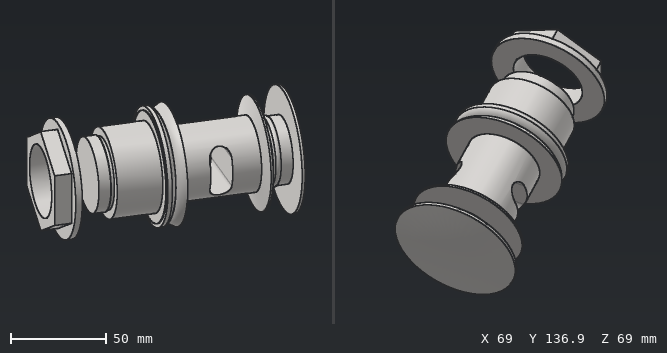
import cadquery as cq
import math

TOTAL_LENGTH = 136.9

CAP_RADIUS = 34.5
DOME_RISE = 2.0
CAP_EDGE_THICKNESS = 1.8
PLUG_RADIUS = 18.5
PLUG_LENGTH = 11.0
SEAL_START = 6.6
SEAL_WIDTH = 2.9
SEAL_BULGE = 0.7
STEM_RADIUS = 6.0
STEM_LENGTH = 3.8

FLANGE_RADIUS = 31.2
FLANGE_EDGE_THICKNESS = 1.2
FLANGE_CONE_HEIGHT = 1.9
BARREL_RADIUS = 20.5
BARREL_LENGTH = 44.5
SLOT_WIDTH = 12.0
SLOT_LENGTH = 28.2
SLOT_FROM_FLANGE = 21.9

UPPER_RING_RADIUS = 33.3
UPPER_RING_HEIGHT = 4.9
UPPER_RING_BULGE = 1.0
WAIST_RADIUS = 28.0
LOWER_RING_RADIUS = 32.5
LOWER_RING_ROUND_HEIGHT = 3.3
LOWER_RING_BULGE = 0.7
LOWER_RING_RIM_HEIGHT = 2.5
RING_STEP_RADIUS = 30.1
RING_STEP_HEIGHT = 0.4

SLEEVE_RADIUS = 24.6
SLEEVE_LENGTH = 25.0
NECK_RADIUS = 19.7
NECK_LENGTH = 2.0
END_LENGTH = 6.7

NUT_FLANGE_THICKNESS = 3.7
HEX_HEIGHT = 9.3
HEX_ACROSS_FLATS = 50.0
NUT_BORE_RADIUS = 19.7

CAP_RIM_Y = TOTAL_LENGTH - DOME_RISE
CAP_UNDERSIDE_Y = CAP_RIM_Y - CAP_EDGE_THICKNESS
SEAL_TOP_Y = CAP_UNDERSIDE_Y - SEAL_START
SEAL_BOTTOM_Y = SEAL_TOP_Y - SEAL_WIDTH
PLUG_BOTTOM_Y = CAP_UNDERSIDE_Y - PLUG_LENGTH
FLANGE_TOP_Y = PLUG_BOTTOM_Y - STEM_LENGTH
FLANGE_RIM_Y = FLANGE_TOP_Y - FLANGE_EDGE_THICKNESS
BARREL_TOP_Y = FLANGE_RIM_Y - FLANGE_CONE_HEIGHT
UPPER_RING_Y = BARREL_TOP_Y - BARREL_LENGTH
WAIST_Y = UPPER_RING_Y - UPPER_RING_HEIGHT
LOWER_RING_Y = WAIST_Y - LOWER_RING_ROUND_HEIGHT
RING_STEP_Y = LOWER_RING_Y - LOWER_RING_RIM_HEIGHT
SLEEVE_TOP_Y = RING_STEP_Y - RING_STEP_HEIGHT
SLEEVE_BOTTOM_Y = SLEEVE_TOP_Y - SLEEVE_LENGTH
NECK_BOTTOM_Y = SLEEVE_BOTTOM_Y - NECK_LENGTH
END_Y = NECK_BOTTOM_Y - END_LENGTH


def ring_arc_middle(rim_radius, rim_y, bulge):
    """Middle point of the arc from a ring's rim to the waist, on its outward side."""
    radial_run = rim_radius - WAIST_RADIUS
    axial_run = WAIST_Y - rim_y
    chord = math.hypot(radial_run, axial_run)
    radius = (rim_radius + WAIST_RADIUS) / 2 + bulge * abs(axial_run) / chord
    y = (rim_y + WAIST_Y) / 2 + bulge * math.copysign(radial_run, axial_run) / chord
    return radius, y


def make_slot():
    """Rounded slot running through the barrel along X, long in Z."""
    return (
        cq.Workplane("YZ")
        .center(BARREL_TOP_Y - SLOT_FROM_FLANGE, 0)
        .slot2D(SLOT_LENGTH, SLOT_WIDTH, 90)
        .extrude(BARREL_RADIUS, both=True)
    )


def make_drain():
    """Cap, plug, barrel, rings and sleeve turned as one solid, then slotted."""
    dome_radius = (CAP_RADIUS**2 + DOME_RISE**2) / (2 * DOME_RISE)
    dome_middle_x = CAP_RADIUS / 2
    dome_middle_y = TOTAL_LENGTH - dome_radius + math.sqrt(dome_radius**2 - dome_middle_x**2)
    seal_middle = (PLUG_RADIUS + SEAL_BULGE, (SEAL_TOP_Y + SEAL_BOTTOM_Y) / 2)
    upper_ring_middle = ring_arc_middle(UPPER_RING_RADIUS, UPPER_RING_Y, UPPER_RING_BULGE)
    lower_ring_middle = ring_arc_middle(LOWER_RING_RADIUS, LOWER_RING_Y, LOWER_RING_BULGE)

    profile = (
        cq.Workplane("XY")
        .moveTo(0, TOTAL_LENGTH)
        .threePointArc((dome_middle_x, dome_middle_y), (CAP_RADIUS, CAP_RIM_Y))
        .lineTo(CAP_RADIUS, CAP_UNDERSIDE_Y)
        .lineTo(PLUG_RADIUS, CAP_UNDERSIDE_Y)
        .lineTo(PLUG_RADIUS, SEAL_TOP_Y)
        .threePointArc(seal_middle, (PLUG_RADIUS, SEAL_BOTTOM_Y))
        .lineTo(PLUG_RADIUS, PLUG_BOTTOM_Y)
        .lineTo(STEM_RADIUS, PLUG_BOTTOM_Y)
        .lineTo(STEM_RADIUS, FLANGE_TOP_Y)
        .lineTo(FLANGE_RADIUS, FLANGE_TOP_Y)
        .lineTo(FLANGE_RADIUS, FLANGE_RIM_Y)
        .lineTo(BARREL_RADIUS, BARREL_TOP_Y)
        .lineTo(BARREL_RADIUS, UPPER_RING_Y)
        .lineTo(UPPER_RING_RADIUS, UPPER_RING_Y)
        .threePointArc(upper_ring_middle, (WAIST_RADIUS, WAIST_Y))
        .threePointArc(lower_ring_middle, (LOWER_RING_RADIUS, LOWER_RING_Y))
        .lineTo(LOWER_RING_RADIUS, RING_STEP_Y)
        .lineTo(RING_STEP_RADIUS, RING_STEP_Y)
        .lineTo(RING_STEP_RADIUS, SLEEVE_TOP_Y)
        .lineTo(SLEEVE_RADIUS, SLEEVE_TOP_Y)
        .lineTo(SLEEVE_RADIUS, SLEEVE_BOTTOM_Y)
        .lineTo(NECK_RADIUS, SLEEVE_BOTTOM_Y)
        .lineTo(NECK_RADIUS, NECK_BOTTOM_Y)
        .lineTo(BARREL_RADIUS, NECK_BOTTOM_Y)
        .lineTo(BARREL_RADIUS, END_Y)
        .lineTo(0, END_Y)
        .close()
    )
    turned = profile.revolve(360, (0, 0, 0), (0, 1, 0))
    return turned.cut(make_slot())


def make_nut():
    """Hexagon with two corners on the Z axis, a round flange and a through bore."""
    hex_across_corners = HEX_ACROSS_FLATS / math.cos(math.pi / 6)
    nut_height = HEX_HEIGHT + NUT_FLANGE_THICKNESS
    hexagon = (
        cq.Workplane("XZ")
        .transformed(rotate=(0, 0, 90))
        .polygon(6, hex_across_corners)
        .extrude(-HEX_HEIGHT)
    )
    flange = (
        cq.Workplane("XZ", origin=(0, HEX_HEIGHT, 0))
        .circle(LOWER_RING_RADIUS)
        .extrude(-NUT_FLANGE_THICKNESS)
    )
    bore = cq.Workplane("XZ").circle(NUT_BORE_RADIUS).extrude(-nut_height)
    return hexagon.union(flange).cut(bore)


drain = make_drain()
nut = make_nut()
result = cq.Compound.makeCompound([drain.val(), nut.val()])